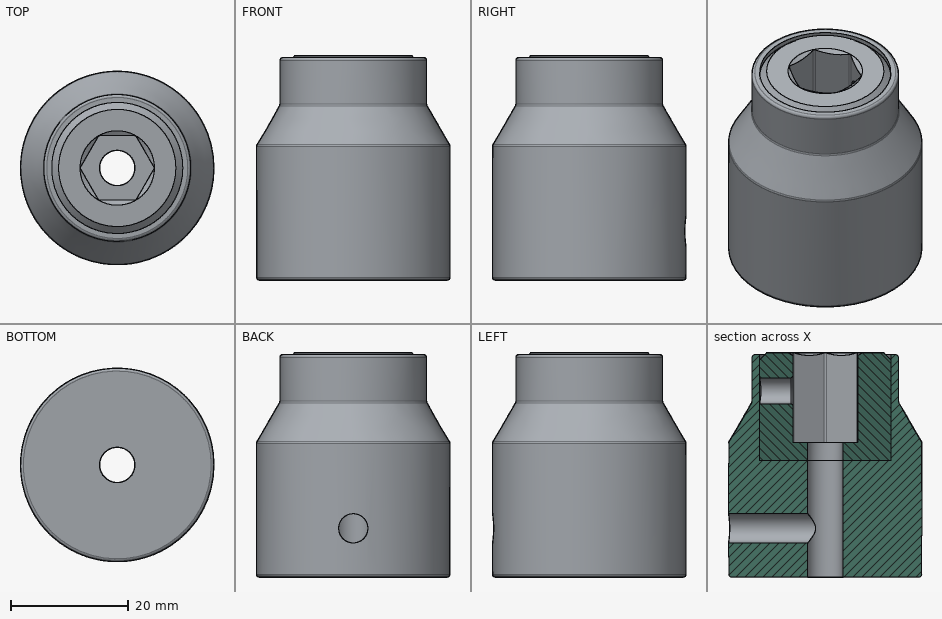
import cadquery as cq
import math

SLEEVE_RADIUS = 16.5
NECK_RADIUS = 12.52
TOTAL_HEIGHT = 38.3
INSERT_PROTRUSION = 0.3
SLEEVE_HEIGHT = TOTAL_HEIGHT - INSERT_PROTRUSION
SHOULDER_BOTTOM = 22.98
SHOULDER_ANGLE = 30.0
SHOULDER_TOP = SHOULDER_BOTTOM + (SLEEVE_RADIUS - NECK_RADIUS) / math.tan(math.radians(SHOULDER_ANGLE))
EDGE_FILLET = 0.5
SHOULDER_FILLET = 0.7

INSERT_RADIUS = 11.2
INSERT_TOP_RADIUS = 10.0
INSERT_CHAMFER_ANGLE = 45.0
INSERT_CHAMFER_DEPTH = (INSERT_RADIUS - INSERT_TOP_RADIUS) * math.tan(math.radians(INSERT_CHAMFER_ANGLE))
INSERT_BOTTOM = 19.9
AXIAL_HOLE_RADIUS = 3.0

HEX_ACROSS_FLATS = 11.0
HEX_CORNER_RADIUS = HEX_ACROSS_FLATS / math.sqrt(3)
HEX_CORNER_FILLET = 0.4
HEX_FLOOR = 22.98
HEX_MOUTH_ANGLE = 30.0

SLEEVE_HOLE_RADIUS = 2.5
DETENT_RADIUS = 2.2
SLEEVE_HOLE_HEIGHT = 8.35
DETENT_HEIGHT = 31.8
DETENT_CHAMFER = 0.3


def cylinder(radius, bottom, top):
    """Cylinder on the Z axis."""
    return cq.Workplane("XY").workplane(offset=bottom).circle(radius).extrude(top - bottom)


def radial_hole(radius, height):
    """Cylinder running from the Z axis out through the +Y side."""
    start = cq.Workplane(cq.Plane((0, 0, height), (1, 0, 0), (0, 1, 0)))
    return start.circle(radius).extrude(SLEEVE_RADIUS)


def make_sleeve():
    """Stepped round sleeve with a pocket for the insert."""
    profile = (
        cq.Workplane("XZ")
        .lineTo(SLEEVE_RADIUS, 0)
        .lineTo(SLEEVE_RADIUS, SHOULDER_BOTTOM)
        .lineTo(NECK_RADIUS, SHOULDER_TOP)
        .lineTo(NECK_RADIUS, SLEEVE_HEIGHT)
        .lineTo(0, SLEEVE_HEIGHT)
        .close()
    )
    body = profile.revolve(360, (0, 0, 0), (0, 1, 0))
    body = body.faces("<Z or >Z").edges().fillet(EDGE_FILLET)
    body = body.faces("%CONE").edges("%CIRCLE").fillet(SHOULDER_FILLET)
    body = body.cut(cylinder(INSERT_RADIUS, INSERT_BOTTOM, TOTAL_HEIGHT))
    body = body.cut(cylinder(AXIAL_HOLE_RADIUS, 0, TOTAL_HEIGHT))
    return body.cut(radial_hole(SLEEVE_HOLE_RADIUS, SLEEVE_HOLE_HEIGHT))


def make_hex_socket():
    """Hexagonal cavity with rounded corners and a conical mouth."""
    socket = (
        cq.Workplane("XY")
        .workplane(offset=HEX_FLOOR)
        .polygon(6, 2 * HEX_CORNER_RADIUS)
        .extrude(TOTAL_HEIGHT - HEX_FLOOR)
        .edges("|Z")
        .fillet(HEX_CORNER_FILLET)
    )
    mouth_depth = HEX_CORNER_RADIUS * math.tan(math.radians(HEX_MOUTH_ANGLE))
    mouth = cq.Solid.makeCone(0, HEX_CORNER_RADIUS, mouth_depth, cq.Vector(0, 0, TOTAL_HEIGHT - mouth_depth))
    return socket.union(cq.Workplane(mouth))


def make_detent():
    """Radial hole with a chamfered mouth on the +Y flat of the socket."""
    mouth = cq.Solid.makeCone(
        DETENT_RADIUS + DETENT_CHAMFER,
        DETENT_RADIUS,
        DETENT_CHAMFER,
        cq.Vector(0, HEX_ACROSS_FLATS / 2, DETENT_HEIGHT),
        cq.Vector(0, 1, 0),
    )
    return radial_hole(DETENT_RADIUS, DETENT_HEIGHT).union(cq.Workplane(mouth))


def make_insert():
    """Round insert with a chamfered top, a hexagonal socket and a detent hole."""
    chamfer_bottom = TOTAL_HEIGHT - INSERT_CHAMFER_DEPTH
    body = (
        cq.Workplane("XZ")
        .moveTo(0, INSERT_BOTTOM)
        .lineTo(INSERT_RADIUS, INSERT_BOTTOM)
        .lineTo(INSERT_RADIUS, chamfer_bottom)
        .lineTo(INSERT_TOP_RADIUS, TOTAL_HEIGHT)
        .lineTo(0, TOTAL_HEIGHT)
        .close()
        .revolve(360, (0, 0, 0), (0, 1, 0))
    )
    body = body.cut(cylinder(AXIAL_HOLE_RADIUS, INSERT_BOTTOM, TOTAL_HEIGHT))
    body = body.cut(make_hex_socket())
    return body.cut(make_detent())


sleeve = make_sleeve()
insert = make_insert()
result = cq.Compound.makeCompound([sleeve.val(), insert.val()])